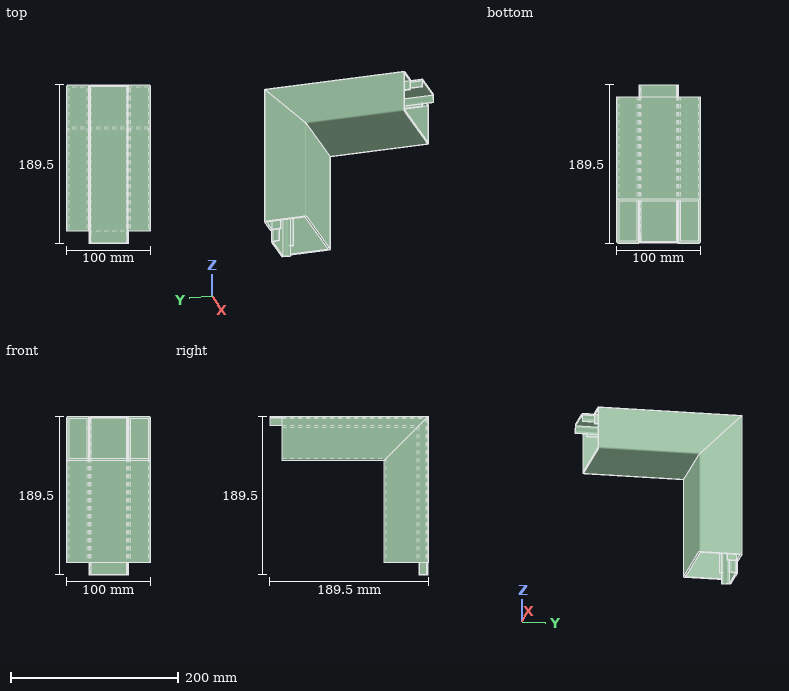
import cadquery as cq


trunk_width = 100.0
trunk_depth = 53.0
trunk_length = 175.0
wall = 2.5
corner_radius = 2.5

slot_half_width = 23.5
nub_width = 0.7
nub_height = 1.8
lip_thickness = 1.8
lip_depth = 13.5

cover_recess = 0.5
cover_end = 189.5
cover_thickness = 1.8
cover_leg_thickness = 1.1
tip_thickness = 0.8
cover_half_width = 22.3
cover_edge_chamfer = 0.45
cover_corner_chamfer = 1.8
tip_half_width = 23.6
flare_start = 4.0
flare_end = 7.7
inner_flare_drop = 0.9
flare_bend_radius = 2.0
bend_margin = 0.1
tip_depth = 11.0


def mirrored_profile(right_half):
    """Closed outline in XZ, symmetric about X = 0, from the points of its right half."""
    left_half = [(-x, z) for x, z in reversed(right_half)]
    return cq.Workplane("XZ").polyline(right_half + left_half).close()


def mitre_cut(leg, reach):
    """Remove the part of a leg along -Y that lies beyond the plane Y = Z."""
    beyond = (
        cq.Workplane("YZ")
        .polyline([(0, 0), (0, -reach), (-reach, -reach)])
        .close()
        .extrude(trunk_width, both=True)
    )
    return leg.cut(beyond)


def swap_legs(leg):
    """Turn a leg along -Y into the matching leg along -Z."""
    return leg.rotate((0, 0, 0), (0, 1, 1), 180)


def make_trunk_leg():
    half_width = trunk_width / 2
    leg = (
        cq.Workplane("XZ")
        .rect(trunk_width, trunk_depth)
        .extrude(trunk_length)
        .edges("|Y")
        .fillet(corner_radius)
        .translate((0, 0, -trunk_depth / 2))
    )
    lip_face = slot_half_width + nub_width
    lip_back = lip_face + lip_thickness
    inner_half_width = half_width - wall
    hollow = mirrored_profile([
        (slot_half_width, 0),
        (slot_half_width, -nub_height),
        (lip_face, -nub_height),
        (lip_face, -lip_depth),
        (lip_back, -lip_depth),
        (lip_back, -wall),
        (inner_half_width, -wall),
        (inner_half_width, wall - trunk_depth),
    ]).extrude(trunk_length)
    return mitre_cut(leg.cut(hollow), trunk_depth)


def make_cover():
    top = -cover_recess
    inner_half_width = cover_half_width - cover_leg_thickness
    tip_inner_half_width = tip_half_width - tip_thickness
    leg = mirrored_profile([
        (cover_half_width - cover_edge_chamfer, top),
        (cover_half_width, top - cover_edge_chamfer),
        (cover_half_width, -flare_start),
        (tip_half_width, -flare_end),
        (tip_half_width, -tip_depth),
        (tip_inner_half_width, -tip_depth),
        (tip_inner_half_width, -flare_end - inner_flare_drop),
        (inner_half_width, -flare_start - inner_flare_drop),
        (inner_half_width, top - cover_thickness),
    ]).extrude(cover_end)
    for bend_depth in (flare_start, flare_end):
        bends = cq.selectors.BoxSelector(
            (-trunk_width, -cover_end, -bend_depth - inner_flare_drop - bend_margin),
            (trunk_width, 0, -bend_depth + bend_margin),
        )
        leg = leg.edges("|Y").edges(bends).fillet(flare_bend_radius)
    leg = mitre_cut(leg, tip_depth)
    corner = (
        cq.Workplane("YZ")
        .polyline([(top, top), (top - cover_corner_chamfer, top), (top, top - cover_corner_chamfer)])
        .close()
        .extrude(trunk_width, both=True)
    )
    return leg.union(swap_legs(leg)).cut(corner)


horizontal_trunk = make_trunk_leg()
vertical_trunk = swap_legs(horizontal_trunk)
cover = make_cover()

bodies = [horizontal_trunk, vertical_trunk, cover]
result = cq.Compound.makeCompound([body.solids().val() for body in bodies])